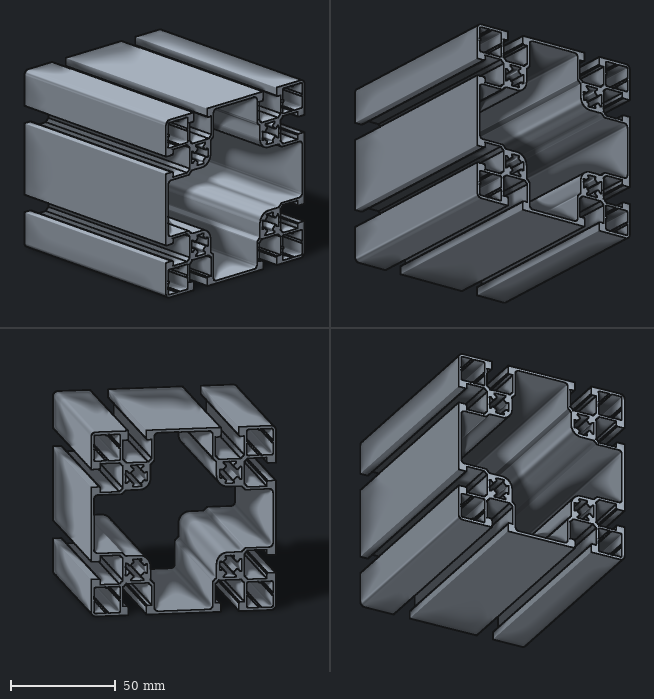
import cadquery as cq

length = 100.0
side = 90.0
outer_radius = 2.5
mouth_radius = 0.3
skin = 1.5
match_tolerance = 0.01

slot_mouth = 8.6
slot_inside = 14.0
lip_depth = 4.6
lip_chamfer = 0.5
slot_depth = 15.5
slot_floor_chamfer = 1.7

slot_wall = 1.3
bevel = 1.8
bevel_depth = 15.0
cavity_fillet = 2.0
bevel_fillet = 0.8
channel_radius = 5.5

box_wall = 1.3
box_fillet = 0.8
rib_radius = 0.6

channel_wall = 1.3
channel_size = 10.5
post_gap = 7.3
post_width = 2.9
channel_fillet = 0.4

half = side / 2
axis_offset = half / 2
slot_inner = axis_offset - slot_inside / 2
slot_outer = axis_offset + slot_inside / 2
slot_floor = half - slot_depth
cavity_outer = half - skin
arm_half = slot_inner - slot_wall
bevel_start = half - bevel_depth
channel_flat = arm_half + bevel


def prism(points):
    """Extrude a closed YZ outline along the full length."""
    return cq.Workplane("YZ").polyline(points).close().extrude(length)


def block(y_min, y_max, z_min, z_max):
    """Full-length bar given by its YZ limits."""
    return prism([(y_min, z_min), (y_max, z_min), (y_max, z_max), (y_min, z_max)])


def turned(shape, angle, y=0, z=0):
    """Rotate a shape about the line parallel to X through (y, z)."""
    return shape.rotate((0, y, z), (1, y, z), angle)


def round_edges(shape, near, far, radius):
    """Fillet every lengthwise edge whose distances from the two centre planes are near and far."""

    def matches(edge):
        middle = edge.Center()
        low, high = sorted((abs(middle.y), abs(middle.z)))
        return abs(low - near) < match_tolerance and abs(high - far) < match_tolerance

    return shape.edges("|X").filter(matches).fillet(radius)


def t_slot():
    """T-slot in the top side, on the +Y half."""
    half_mouth = slot_mouth / 2
    half_inside = slot_inside / 2
    lip = half - lip_depth
    right = [
        (half_mouth, half),
        (half_mouth, lip + lip_chamfer),
        (half_mouth + lip_chamfer, lip),
        (half_inside, lip),
        (half_inside, slot_floor + slot_floor_chamfer),
        (half_inside - slot_floor_chamfer, slot_floor),
    ]
    left = [(-y, z) for y, z in reversed(right)]
    return prism([(axis_offset + y, z) for y, z in right + left])


def cavity():
    """Cross-shaped cavity that steps round the four screw channels."""
    points = []
    for quarter in range(4):
        for y, z in [
            (arm_half, cavity_outer),
            (arm_half, bevel_start),
            (channel_flat, bevel_start - bevel),
            (channel_flat, channel_flat),
            (bevel_start - bevel, channel_flat),
            (bevel_start, arm_half),
            (cavity_outer, arm_half),
        ]:
            for _ in range(quarter):
                y, z = z, -y
            points.append((y, z))
    cross = round_edges(prism(points), arm_half, cavity_outer, cavity_fillet)
    cross = round_edges(cross, channel_flat, channel_flat, channel_radius)
    cross = round_edges(cross, arm_half, bevel_start, bevel_fillet)
    return round_edges(cross, channel_flat, bevel_start - bevel, bevel_fillet)


def corner_box():
    """Square hollow in the +Y +Z corner, with a small half-round rib on the middle of each wall."""
    box_inner = slot_outer + box_wall
    middle = (box_inner + cavity_outer) / 2
    hollow = block(box_inner, cavity_outer, box_inner, cavity_outer).edges("|X").fillet(box_fillet)
    rib = cq.Workplane("YZ").center(middle, cavity_outer).circle(rib_radius).extrude(length)
    for turn in range(4):
        hollow = hollow.cut(turned(rib, 90 * turn, middle, middle))
    return hollow


def screw_channel():
    """Square channel near the +Y +Z corner, with four diagonal posts left standing in it."""
    outer = slot_floor - channel_wall
    inner = outer - channel_size
    channel = block(inner, outer, inner, outer)
    post = block(
        axis_offset + post_gap / 2,
        axis_offset + channel_size,
        axis_offset - post_width / 2,
        axis_offset + post_width / 2,
    )
    for turn in range(4):
        channel = channel.cut(turned(post, 45 + 90 * turn, axis_offset, axis_offset))
    return channel.edges("|X").fillet(channel_fillet)


result = block(-half, half, -half, half).edges("|X").fillet(outer_radius)
result = result.cut(cavity())
upper_slot = t_slot()
openings = [upper_slot, upper_slot.mirror("XZ"), corner_box(), screw_channel()]
for turn in range(4):
    for opening in openings:
        result = result.cut(turned(opening, 90 * turn))
for mouth_edge in (axis_offset - slot_mouth / 2, axis_offset + slot_mouth / 2):
    result = round_edges(result, mouth_edge, half, mouth_radius)